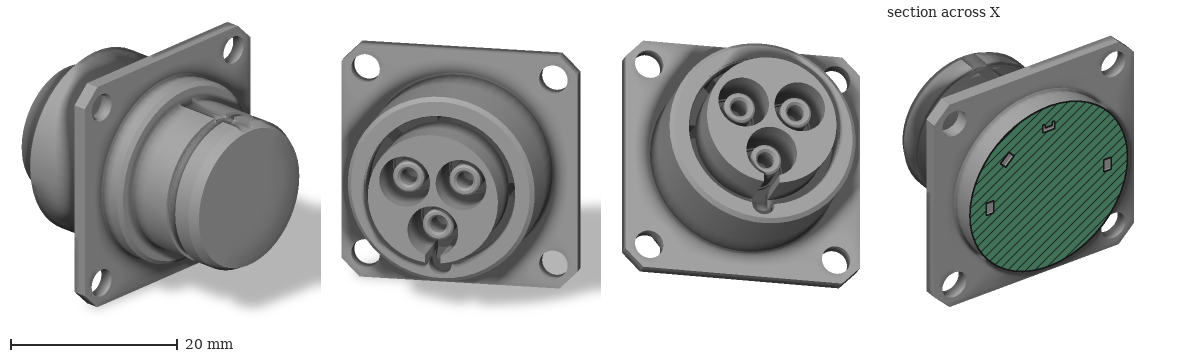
import cadquery as cq
import math

shell_front_x = 4.2
flange_front_x = 14.85
flange_thickness = 1.7
flange_back_x = flange_front_x + flange_thickness
collar_end_x = 19.55
groove_start_x = 25.2
groove_end_x = 26.5
total_length = 30.0

shell_radius = 11.5
shell_chamfer = 0.5
flange_fillet = 0.2
barrel_radius = 9.4
barrel_fillet = 0.4
groove_radius = 8.8
groove_fillet = 0.18
groove_end_fillet = 0.1
groove_lip_chamfer = 0.15
end_chamfer_length = 1.15
end_chamfer_depth = 0.6

flange_side = 29.0
flange_corner_chamfer = 2.2
mount_hole_pitch = 23.1
mount_hole_diameter = 3.5

cavity_mouth_radius = 9.4
cavity_mouth_depth = 0.1
cavity_taper_start_radius = 9.2
cavity_taper_length = 0.6
cavity_radius = 9.03
cavity_floor_x = 6.2
insert_radius = 8.0
insert_overlap = 1.0
key_slot_width = 1.65
key_slot_outer = cavity_radius
key_slot_end_x = 12.0
key_slot_angles = (0, 90, 135, 180)
post_radius = 0.6
post_bottom_z = 8.53
shell_notch_radius = 1.4
shell_notch_z = -9.15

bottom_slot_width = 1.9
bottom_slot_end_x = 7.2
bottom_slot_outer = 9.15
bottom_slot_crease = 8.65
bottom_slot_crease_x = 6.6
bottom_slot_inner = 7.95

contact_circle_radius = 4.0
bore_radius = 3.12
bore_floor_radius = 2.93
bore_ledge_x = 7.5
bore_floor_x = 8.0
upper_contact_tip_x = 1.85
lower_contact_tip_x = 2.8
contacts = (
    (30, upper_contact_tip_x),
    (150, upper_contact_tip_x),
    (270, lower_contact_tip_x),
)
contact_radius = 1.9
contact_chamfer = 0.25
contact_collar_radius = 2.1
contact_collar_length = 0.5
socket_mouth_radius = 1.3
socket_radius = 1.02
socket_chamfer_length = 0.35
socket_depth = 4.0
socket_tip_length = 0.6
contact_anchor_length = 1.0

keyway_width = 2.06
keyway_fillet = 0.15
keyway_floor_z = 8.85
dimple_x = 25.88
dimple_radius = 1.0
dimple_floor_z = 8.73


def x_cylinder(radius, x_start, x_end, y=0.0, z=0.0):
    """Cylinder parallel to X between two stations."""
    return cq.Workplane("YZ", origin=(x_start, y, z)).circle(radius).extrude(x_end - x_start)


def x_span_box(x_start, x_end, width, z_low, z_high):
    """Box centred on Y = 0 between two X stations and two heights."""
    size = (x_end - x_start, width, z_high - z_low)
    return cq.Workplane("XY").box(*size, centered=(False, True, False)).translate((x_start, 0, z_low))


def make_shell():
    """Turned body: shell, rear collar, grooved barrel and beveled end."""
    front_relief_x = flange_front_x - flange_fillet
    back_relief_x = flange_back_x + flange_fillet
    flange_root = shell_radius + flange_fillet
    barrel_start_x = collar_end_x + barrel_fillet
    arc_offset = 1 - math.sqrt(0.5)
    barrel_arc_mid = (collar_end_x + barrel_fillet * arc_offset, barrel_radius + barrel_fillet * arc_offset)
    groove_arc_mid = (groove_start_x + groove_fillet * arc_offset, groove_radius + groove_fillet * arc_offset)
    end_arc_inset = groove_end_fillet * arc_offset
    groove_end_arc_mid = (groove_end_x - end_arc_inset, groove_radius + end_arc_inset)
    profile = (
        cq.Workplane("XY")
        .moveTo(shell_front_x, 0)
        .lineTo(shell_front_x, shell_radius - shell_chamfer)
        .lineTo(shell_front_x + shell_chamfer, shell_radius)
        .lineTo(front_relief_x, shell_radius)
        .lineTo(flange_front_x, flange_root)
        .lineTo(flange_back_x, flange_root)
        .lineTo(back_relief_x, shell_radius)
        .lineTo(collar_end_x - shell_chamfer, shell_radius)
        .lineTo(collar_end_x, shell_radius - shell_chamfer)
        .lineTo(collar_end_x, barrel_radius + barrel_fillet)
        .threePointArc(barrel_arc_mid, (barrel_start_x, barrel_radius))
        .lineTo(groove_start_x, barrel_radius)
        .lineTo(groove_start_x, groove_radius + groove_fillet)
        .threePointArc(groove_arc_mid, (groove_start_x + groove_fillet, groove_radius))
        .lineTo(groove_end_x - groove_end_fillet, groove_radius)
        .threePointArc(groove_end_arc_mid, (groove_end_x, groove_radius + groove_end_fillet))
        .lineTo(groove_end_x, barrel_radius - groove_lip_chamfer)
        .lineTo(groove_end_x + groove_lip_chamfer, barrel_radius)
        .lineTo(total_length - end_chamfer_length, barrel_radius)
        .lineTo(total_length, barrel_radius - end_chamfer_depth)
        .lineTo(total_length, 0)
        .close()
    )
    return profile.revolve(360, (0, 0, 0), (1, 0, 0))


def make_flange():
    """Square plate with beveled corners and four mounting holes."""
    plate = (
        cq.Workplane("YZ", origin=(flange_front_x, 0, 0))
        .rect(flange_side, flange_side)
        .extrude(flange_thickness)
        .edges("|X")
        .chamfer(flange_corner_chamfer)
    )
    holes = (
        cq.Workplane("YZ", origin=(flange_front_x, 0, 0))
        .rect(mount_hole_pitch, mount_hole_pitch, forConstruction=True)
        .vertices()
        .circle(mount_hole_diameter / 2)
        .extrude(flange_thickness)
    )
    return plate.cut(holes)


def make_cavity():
    """Front recess of the shell with a stepped, tapered mouth and a round bottom notch."""
    taper_start_x = shell_front_x + cavity_mouth_depth
    recess = (
        cq.Workplane("XY")
        .moveTo(shell_front_x, 0)
        .lineTo(shell_front_x, cavity_mouth_radius)
        .lineTo(taper_start_x, cavity_mouth_radius)
        .lineTo(taper_start_x, cavity_taper_start_radius)
        .lineTo(taper_start_x + cavity_taper_length, cavity_radius)
        .lineTo(cavity_floor_x, cavity_radius)
        .lineTo(cavity_floor_x, 0)
        .close()
        .revolve(360, (0, 0, 0), (1, 0, 0))
    )
    notch = x_cylinder(shell_notch_radius, shell_front_x, cavity_floor_x, z=shell_notch_z)
    return recess.union(notch)


def make_key_slots():
    """Axial slots in the cavity floor; the top one keeps a small upright post."""
    slots = cq.Workplane("XY")
    upright = x_span_box(cavity_floor_x, key_slot_end_x, key_slot_width, insert_radius, key_slot_outer)
    for angle in key_slot_angles:
        slots = slots.add(upright.rotate((0, 0, 0), (1, 0, 0), 90 - angle))
    post = (
        cq.Workplane("XY", origin=(key_slot_end_x, 0, post_bottom_z))
        .circle(post_radius)
        .extrude(key_slot_outer - post_bottom_z)
    )
    return slots.combine().cut(post)


def make_bottom_slot():
    """Slot from the lowest bore out through the insert, with a two-step sloping floor."""
    return (
        cq.Workplane("XZ", origin=(0, bottom_slot_width / 2, 0))
        .moveTo(0, -contact_circle_radius)
        .lineTo(0, -bottom_slot_outer)
        .lineTo(cavity_floor_x, -bottom_slot_outer)
        .lineTo(bottom_slot_crease_x, -bottom_slot_crease)
        .lineTo(bottom_slot_end_x, -bottom_slot_inner)
        .lineTo(bottom_slot_end_x, -contact_circle_radius)
        .close()
        .extrude(bottom_slot_width)
    )


def make_bore():
    """Stepped contact bore on the X axis."""
    return x_cylinder(bore_radius, 0, bore_ledge_x).union(
        x_cylinder(bore_floor_radius, bore_ledge_x, bore_floor_x)
    )


def make_contact(tip_x):
    """Socket contact on the X axis, revolved with its drilled hole."""
    collar_x = bore_floor_x - contact_collar_length
    socket_end_x = tip_x + socket_depth
    anchor_x = bore_floor_x + contact_anchor_length
    return (
        cq.Workplane("XY")
        .moveTo(tip_x, socket_mouth_radius)
        .lineTo(tip_x, contact_radius - contact_chamfer)
        .lineTo(tip_x + contact_chamfer, contact_radius)
        .lineTo(collar_x, contact_radius)
        .lineTo(collar_x, contact_collar_radius)
        .lineTo(anchor_x, contact_collar_radius)
        .lineTo(anchor_x, 0)
        .lineTo(socket_end_x + socket_tip_length, 0)
        .lineTo(socket_end_x, socket_radius)
        .lineTo(tip_x + socket_chamfer_length, socket_radius)
        .close()
        .revolve(360, (0, 0, 0), (1, 0, 0))
    )


def contact_position(angle):
    """Offset of a contact from the connector axis."""
    y = contact_circle_radius * math.cos(math.radians(angle))
    z = contact_circle_radius * math.sin(math.radians(angle))
    return (0, y, z)


def make_keyway():
    """Flat-floored keyway along the top of the barrel, with filleted floor corners."""
    keyway = x_span_box(collar_end_x, total_length, keyway_width, keyway_floor_z, shell_radius)
    return keyway.edges("|X and <Z").fillet(keyway_fillet)


def make_dimple():
    """Shallow round dimple in the keyway floor."""
    return (
        cq.Workplane("XY", origin=(dimple_x, 0, dimple_floor_z))
        .circle(dimple_radius)
        .extrude(shell_radius - dimple_floor_z)
    )


body = make_shell().union(make_flange())
body = body.cut(make_cavity())
body = body.union(x_cylinder(insert_radius, 0, cavity_floor_x + insert_overlap))
body = body.cut(make_key_slots())
body = body.cut(make_bottom_slot())
for contact_angle, contact_tip_x in contacts:
    position = contact_position(contact_angle)
    body = body.cut(make_bore().translate(position))
    body = body.union(make_contact(contact_tip_x).translate(position))
result = body.cut(make_keyway()).cut(make_dimple())